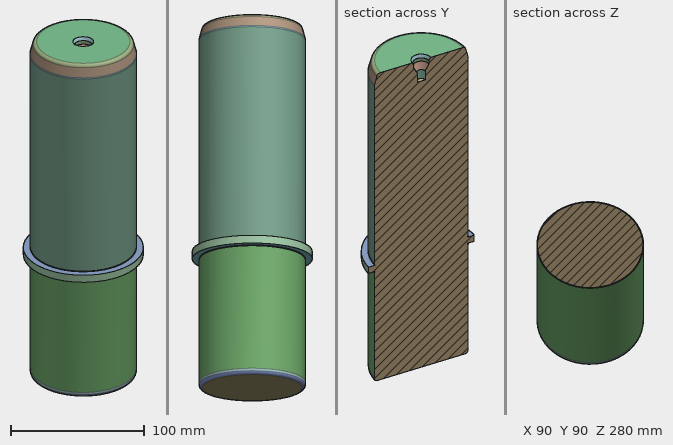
import cadquery as cq
import math

total_length = 280.0
body_radius = 40.0

collar_radius = 45.0
collar_bottom = 100.0
collar_thickness = 6.0
collar_top = collar_bottom + collar_thickness

top_taper_angle = math.radians(15.0)
top_taper_length = 10.2
top_taper_blend = 4.0
top_rounding = 3.0
bottom_taper_angle = math.radians(5.0)
bottom_taper_length = 4.2
bottom_rounding = 2.5

relief_width = 0.6
relief_depth = 0.4

mouth_radius = 7.75
bore_radius = 6.3
bore_length = 3.0
pilot_radius = 3.15
pilot_depth = 8.0
cone_half_angle = math.radians(30.0)


def make_body():
    """Revolve the stepped, end-tapered outline about Z."""
    top_inset = top_taper_length * math.tan(top_taper_angle)
    bottom_inset = bottom_taper_length * math.tan(bottom_taper_angle)
    outline = (
        cq.Workplane("XZ")
        .moveTo(0, 0)
        .lineTo(body_radius - bottom_inset, 0)
        .lineTo(body_radius, bottom_taper_length)
        .lineTo(body_radius, collar_bottom)
        .lineTo(collar_radius, collar_bottom)
        .lineTo(collar_radius, collar_top)
        .lineTo(body_radius, collar_top)
        .lineTo(body_radius, total_length - top_taper_length)
        .lineTo(body_radius - top_inset, total_length)
        .lineTo(0, total_length)
        .close()
    )
    return outline.revolve(360, (0, 0, 0), (0, 1, 0))


def round_ends(body):
    """Round both end faces and blend the top taper into the body."""
    body = body.faces(">Z").edges().fillet(top_rounding)
    body = body.faces("<Z").edges().fillet(bottom_rounding)
    taper_start = cq.selectors.NearestToPointSelector((0, 0, total_length - top_taper_length))
    return body.edges(taper_start).fillet(top_taper_blend)


def make_relief(bottom):
    """Return a ring cutter for one relief groove."""
    outer = cq.Workplane("XY", origin=(0, 0, bottom)).circle(body_radius).extrude(relief_width)
    core = cq.Workplane("XY", origin=(0, 0, bottom)).circle(body_radius - relief_depth).extrude(relief_width)
    return outer.cut(core)


def make_center_hole():
    """Return the center hole as a revolved cutter."""
    mouth_bottom = total_length - (mouth_radius - bore_radius) / math.tan(cone_half_angle)
    bore_bottom = mouth_bottom - bore_length
    cone_bottom = bore_bottom - (bore_radius - pilot_radius) / math.tan(cone_half_angle)
    pilot_bottom = cone_bottom - pilot_depth
    outline = (
        cq.Workplane("XZ")
        .moveTo(0, total_length)
        .lineTo(mouth_radius, total_length)
        .lineTo(bore_radius, mouth_bottom)
        .lineTo(bore_radius, bore_bottom)
        .lineTo(pilot_radius, cone_bottom)
        .lineTo(pilot_radius, pilot_bottom)
        .lineTo(0, pilot_bottom)
        .close()
    )
    return outline.revolve(360, (0, 0, 0), (0, 1, 0))


body = round_ends(make_body())
for relief_bottom in (collar_bottom - relief_width, collar_top):
    body = body.cut(make_relief(relief_bottom))
result = body.cut(make_center_hole())